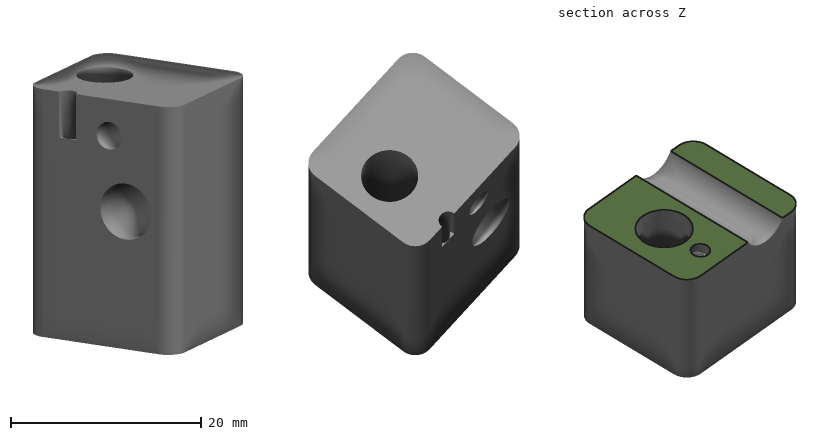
import cadquery as cq

WIDTH = 18.0
DEPTH = 16.0
HEIGHT = 27.0
CORNER_RADIUS = 2.0

VERTICAL_BORE_DIAMETER = 6.0
VERTICAL_BORE_X = -WIDTH / 2 + 5.0
VERTICAL_BORE_Y = 0.0

CROSS_BORE_DIAMETER = 6.1
CROSS_BORE_X = WIDTH / 2 - 6.0
CROSS_BORE_Z = HEIGHT - 12.0

SMALL_HOLE_DIAMETER = 3.0
SMALL_HOLE_X = 1.0
SMALL_HOLE_Z = HEIGHT - 4.0

GROOVE_DIAMETER = 2.0
GROOVE_LENGTH = 5.0
GROOVE_X = VERTICAL_BORE_X
GROOVE_Y = -DEPTH / 2

LEANING_HOLE_DIAMETER = GROOVE_DIAMETER
LEANING_HOLE_ANGLE = 12.0
LEANING_HOLE_DEPTH = 15.0
LEANING_HOLE_START_DROP = 0.15
LEANING_HOLE_RUN_IN = 1.0


def make_block():
    """Upright block with rounded vertical edges."""
    block = cq.Workplane("XY").box(WIDTH, DEPTH, HEIGHT, centered=(True, True, False))
    return block.edges("|Z").fillet(CORNER_RADIUS)


def vertical_cutter(x, y, diameter, length):
    """Cylinder reaching down from the top face."""
    return cq.Workplane("XY", origin=(x, y, HEIGHT)).circle(diameter / 2).extrude(-length)


def cross_cutter(x, z, diameter):
    """Cylinder along Y through the full depth."""
    front = cq.Workplane("XZ", origin=(x, -DEPTH / 2, z))
    return front.circle(diameter / 2).extrude(-DEPTH)


def leaning_cutter():
    """Cylinder leaning from vertical; its axis meets the front face just below the top.

    The run-in lengthens the cylinder upward so that its end clears the top face.
    """
    start = (GROOVE_X, GROOVE_Y, HEIGHT - LEANING_HOLE_START_DROP)
    axis_plane = cq.Plane(origin=start).rotated((LEANING_HOLE_ANGLE, 0, 0))
    return (
        cq.Workplane(axis_plane)
        .workplane(offset=LEANING_HOLE_RUN_IN)
        .circle(LEANING_HOLE_DIAMETER / 2)
        .extrude(-(LEANING_HOLE_RUN_IN + LEANING_HOLE_DEPTH))
    )


result = (
    make_block()
    .cut(vertical_cutter(VERTICAL_BORE_X, VERTICAL_BORE_Y, VERTICAL_BORE_DIAMETER, HEIGHT))
    .cut(cross_cutter(CROSS_BORE_X, CROSS_BORE_Z, CROSS_BORE_DIAMETER))
    .cut(cross_cutter(SMALL_HOLE_X, SMALL_HOLE_Z, SMALL_HOLE_DIAMETER))
    .cut(vertical_cutter(GROOVE_X, GROOVE_Y, GROOVE_DIAMETER, GROOVE_LENGTH))
    .cut(leaning_cutter())
)